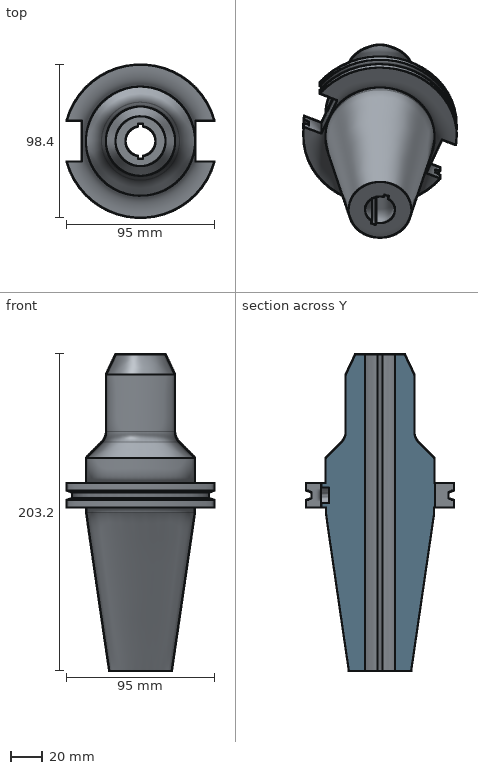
import cadquery as cq
import math

gauge_radius = 69.85 / 2
taper_length = 101.6
taper_slope = 7 / 48
taper_end_radius = gauge_radius - taper_slope * taper_length

flange_radius = 98.425 / 2
flange_bottom = 3.175
flange_top = 19.05
groove_radius = 45.9
groove_floor_bottom = 9.3
groove_floor_top = 13.0
groove_mouth_bottom = 8.1
groove_mouth_top = 14.3

hub_radius = 35.0
hub_top = 35.2
nose_radius = 44.45 / 2
nose_top = 101.6
nose_tip_radius = 16.0
nose_cone_length = 13.1
shoulder_angle = math.radians(45)
fillet_radius = 9.525

slot_width = 25.9
left_slot_floor = 37.7
right_slot_floor = 35.3

slot_hole_diameter = 9.6
slot_hole_depth = 5.0

bore_radius = 19.05 / 2
coolant_groove_width = 3.0
coolant_groove_reach = 11.1


def make_body():
    """Revolve the half-profile of the shank, flange, hub and nose."""
    fillet_center_radius = nose_radius + fillet_radius
    cone_top_radius = fillet_center_radius - fillet_radius * math.cos(shoulder_angle)
    cone_top = hub_top + (hub_radius - cone_top_radius) * math.tan(shoulder_angle)
    fillet_top = cone_top + fillet_radius * math.sin(shoulder_angle)
    half_angle = shoulder_angle / 2
    fillet_middle = (
        fillet_center_radius - fillet_radius * math.cos(half_angle),
        fillet_top - fillet_radius * math.sin(half_angle),
    )
    return (
        cq.Workplane("XZ")
        .moveTo(0, -taper_length)
        .lineTo(taper_end_radius, -taper_length)
        .lineTo(gauge_radius, 0)
        .lineTo(gauge_radius, flange_bottom)
        .lineTo(flange_radius, flange_bottom)
        .lineTo(flange_radius, groove_mouth_bottom)
        .lineTo(groove_radius, groove_floor_bottom)
        .lineTo(groove_radius, groove_floor_top)
        .lineTo(flange_radius, groove_mouth_top)
        .lineTo(flange_radius, flange_top)
        .lineTo(hub_radius, flange_top)
        .lineTo(hub_radius, hub_top)
        .lineTo(cone_top_radius, cone_top)
        .threePointArc(fillet_middle, (nose_radius, fillet_top))
        .lineTo(nose_radius, nose_top - nose_cone_length)
        .lineTo(nose_tip_radius, nose_top)
        .lineTo(0, nose_top)
        .close()
        .revolve(360, (0, 0, 0), (0, 1, 0))
    )


def make_drive_slot(side, floor):
    """Block cut from the flange; side is -1 for -X and +1 for +X."""
    slot_depth = flange_radius - floor
    slot_height = flange_top - flange_bottom
    return cq.Workplane("XY").box(slot_depth, slot_width, slot_height).translate(
        (side * (floor + slot_depth / 2), 0, (flange_bottom + flange_top) / 2)
    )


def make_slot_hole():
    """Blind hole running inward (+X) from the left slot floor."""
    hole_height = (flange_bottom + flange_top) / 2
    return (
        cq.Workplane("YZ", origin=(-left_slot_floor, 0, hole_height))
        .circle(slot_hole_diameter / 2)
        .extrude(slot_hole_depth)
    )


def make_bore():
    """Through bore with two opposite coolant grooves along its wall."""
    bore_length = taper_length + nose_top
    base = cq.Workplane("XY", origin=(0, 0, -taper_length))
    round_bore = base.circle(bore_radius).extrude(bore_length)
    grooves = base.rect(coolant_groove_width, 2 * coolant_groove_reach).extrude(bore_length)
    return round_bore.union(grooves)


result = (
    make_body()
    .cut(make_drive_slot(-1, left_slot_floor))
    .cut(make_drive_slot(1, right_slot_floor))
    .cut(make_slot_hole())
    .cut(make_bore())
)